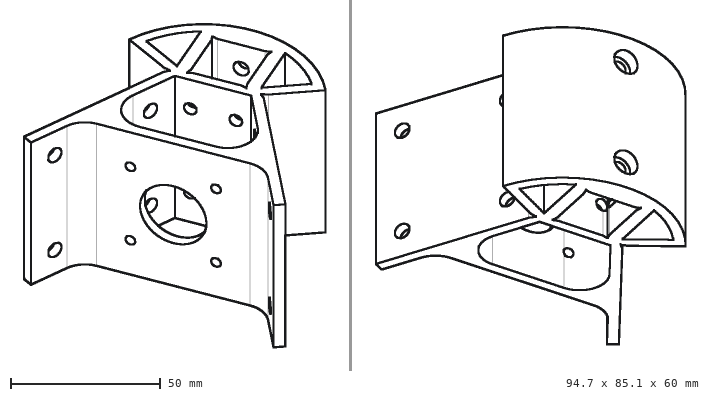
import cadquery as cq
import math

height = 60.0
wall = 4.0
slope = math.radians(30)
cos_slope = math.cos(slope)
sin_slope = math.sin(slope)

crown_radius = 41.0
crown_center_y = -22.0

ear_root_x = 17.36
ear_root_y = -12.15
ear_length = 60.0
ear_hole_diameter = 5.5
ear_hole_stations = (10.0, 50.0)
ear_hole_edge = 10.0

plate_front_y = -48.15
fillet_radius = 10.0
window_back_y = -14.0
motor_bore = 24.0
motor_hole_spacing = 31.0
motor_hole_diameter = 3.5

channel_size = 20.3
channel_center_y = -0.05
pocket_inner_x = 15.25

relief_radius = 1.5
ear_relief_offset = 0.57
ear_relief_degrees = 165.0
channel_relief_offset = 0.7

rib_hole_diameter = 4.5
rib_hole_spacing = 16.5
rib_hole_edge = 12.2

crown_hole_diameter = 5.5
crown_bore_diameter = 9.0
crown_hole_edge = 10.0

mid_z = height / 2


def ear_point(station, depth=0.0):
    """Point on the right ear: distance along it from the root, depth inward from its outer face."""
    x = ear_root_x + station * sin_slope - depth * cos_slope
    y = ear_root_y - station * cos_slope - depth * sin_slope
    return x, y


def ear_x_at(y, depth):
    """X on the right ear at a given Y, on the line lying at a depth from its outer face."""
    root_x, root_y = ear_point(0, depth)
    return root_x + (root_y - y) * math.tan(slope)


def wing_y_at(x, depth):
    """Y on the right wing at a given X, on the line lying at a depth from its front face."""
    return ear_root_y + (x - ear_root_x) * math.tan(slope) + depth / cos_slope


def wing_meets_arc(radius, depth):
    """Point where the wing line at a depth meets an arc about the crown centre."""
    normal_distance = (wing_y_at(0, depth) - crown_center_y) * cos_slope
    along = math.sqrt(radius**2 - normal_distance**2)
    x = along * cos_slope - normal_distance * sin_slope
    y = crown_center_y + along * sin_slope + normal_distance * cos_slope
    return x, y


def mirrored(point):
    return -point[0], point[1]


def both_sides(shape):
    """A shape together with its mirror image across the symmetry plane."""
    return shape.union(shape.mirror("YZ"))


def corner_relief(x, y, outward_degrees, offset):
    """Triangular relief, its centre set back from (x, y) so the tip reaches just past that corner."""
    angle = math.radians(outward_degrees)
    center_x = x - offset * math.cos(angle)
    center_y = y - offset * math.sin(angle)
    tips = []
    for turn in (0, 120, 240):
        tip_angle = angle + math.radians(turn)
        tip_x = center_x + relief_radius * math.cos(tip_angle)
        tip_y = center_y + relief_radius * math.sin(tip_angle)
        tips.append((tip_x, tip_y))
    return cq.Workplane("XY").polyline(tips).close().extrude(height)


def hole_along_y(x, z, diameter, start_y, end_y):
    """Cylinder along Y between two Y positions."""
    plane = cq.Plane(origin=(x, start_y, z), xDir=(1, 0, 0), normal=(0, 1, 0))
    return cq.Workplane(plane).circle(diameter / 2).extrude(end_y - start_y)


def make_body():
    """Crown, wings, ears and motor plate as one filled block."""
    ear_root = ear_point(0)
    ear_end_outer = ear_point(ear_length)
    ear_end_inner = ear_point(ear_length, wall)
    plate_corner = (ear_x_at(plate_front_y, wall), plate_front_y)
    wing_tip = wing_meets_arc(crown_radius, 0)
    right_side = [ear_root, ear_end_outer, ear_end_inner, plate_corner]
    left_side = [mirrored(point) for point in reversed(right_side)]
    body = (
        cq.Workplane("XY")
        .moveTo(*wing_tip)
        .lineTo(*ear_root)
        .lineTo(*ear_end_outer)
        .lineTo(*ear_end_inner)
        .lineTo(*plate_corner)
    )
    for point in left_side:
        body = body.lineTo(*point)
    body = (
        body.lineTo(*mirrored(wing_tip))
        .threePointArc((0, crown_center_y + crown_radius), wing_tip)
        .close()
        .extrude(height)
    )
    for corner in (plate_corner, mirrored(plate_corner)):
        nearest = cq.selectors.NearestToPointSelector((*corner, mid_z))
        body = body.edges("|Z").edges(nearest).fillet(fillet_radius)
    return body


def make_window():
    """Opening enclosed by the ears, the motor plate and the channel."""
    back = (ear_x_at(window_back_y, wall), window_back_y)
    front_y = plate_front_y + wall
    front = (ear_x_at(front_y, wall), front_y)
    outline = [back, front, mirrored(front), mirrored(back)]
    window = cq.Workplane("XY").polyline(outline).close().extrude(height)
    return window.edges("|Z and <Y").fillet(fillet_radius)


def make_pocket():
    """Right-hand pocket between the channel, the wing and the crown."""
    radius = crown_radius - wall
    outer = wing_meets_arc(radius, wall)
    lower = (pocket_inner_x, wing_y_at(pocket_inner_x, wall))
    upper_angle = math.acos(pocket_inner_x / radius)
    outer_angle = math.atan2(outer[1] - crown_center_y, outer[0])
    middle_angle = (upper_angle + outer_angle) / 2
    upper = (pocket_inner_x, crown_center_y + radius * math.sin(upper_angle))
    middle = (
        radius * math.cos(middle_angle),
        crown_center_y + radius * math.sin(middle_angle),
    )
    return (
        cq.Workplane("XY")
        .moveTo(*upper)
        .threePointArc(middle, outer)
        .lineTo(*lower)
        .close()
        .extrude(height)
    )


def make_channel():
    """Square channel with a relief at each corner."""
    channel = cq.Workplane("XY").center(0, channel_center_y).rect(channel_size, channel_size)
    channel = channel.extrude(height)
    half = channel_size / 2
    for degrees in (45, 135, 225, 315):
        x = math.copysign(half, math.cos(math.radians(degrees)))
        y = channel_center_y + math.copysign(half, math.sin(math.radians(degrees)))
        channel = channel.union(corner_relief(x, y, degrees, channel_relief_offset))
    return channel


def make_ear_relief():
    """Relief in the notch where the right wing meets its ear."""
    return corner_relief(ear_root_x, ear_root_y, ear_relief_degrees, ear_relief_offset)


def make_ear_holes():
    """Holes square to the right ear, at two stations and two heights."""
    inward = (-cos_slope, -sin_slope, 0)
    holes = cq.Workplane("XY")
    for station in ear_hole_stations:
        x, y = ear_point(station)
        for z in (ear_hole_edge, height - ear_hole_edge):
            plane = cq.Plane(origin=(x, y, z), xDir=(0, 0, 1), normal=inward)
            hole = cq.Workplane(plane).circle(ear_hole_diameter / 2).extrude(wall)
            holes = holes.add(hole)
    return holes.combine()


def make_motor_holes():
    """Central bore and four screw holes, run past the window fillets to open fully."""
    back_y = plate_front_y + wall + fillet_radius
    holes = hole_along_y(0, mid_z, motor_bore, plate_front_y, back_y)
    half = motor_hole_spacing / 2
    for x in (-half, half):
        for z in (mid_z - half, mid_z + half):
            holes = holes.union(hole_along_y(x, z, motor_hole_diameter, plate_front_y, back_y))
    return holes


def make_rib_holes():
    """Two pairs of holes from the window into the channel."""
    half = rib_hole_spacing / 2
    holes = cq.Workplane("XY")
    for z in (rib_hole_edge, height - rib_hole_edge):
        for x in (-half, half):
            holes = holes.add(hole_along_y(x, z, rib_hole_diameter, window_back_y, 0))
    return holes.combine()


def make_crown_holes():
    """Counterbored holes whose heads rest on one wall thickness behind the channel."""
    crown_y = crown_center_y + crown_radius
    seat_y = channel_center_y + channel_size / 2 + wall
    holes = cq.Workplane("XY")
    for z in (crown_hole_edge, height - crown_hole_edge):
        holes = holes.add(hole_along_y(0, z, crown_hole_diameter, 0, crown_y))
        holes = holes.add(hole_along_y(0, z, crown_bore_diameter, seat_y, crown_y))
    return holes.combine()


result = (
    make_body()
    .cut(make_window())
    .cut(both_sides(make_pocket()))
    .cut(make_channel())
    .cut(both_sides(make_ear_relief()))
    .cut(both_sides(make_ear_holes()))
    .cut(make_motor_holes())
    .cut(make_rib_holes())
    .cut(make_crown_holes())
)